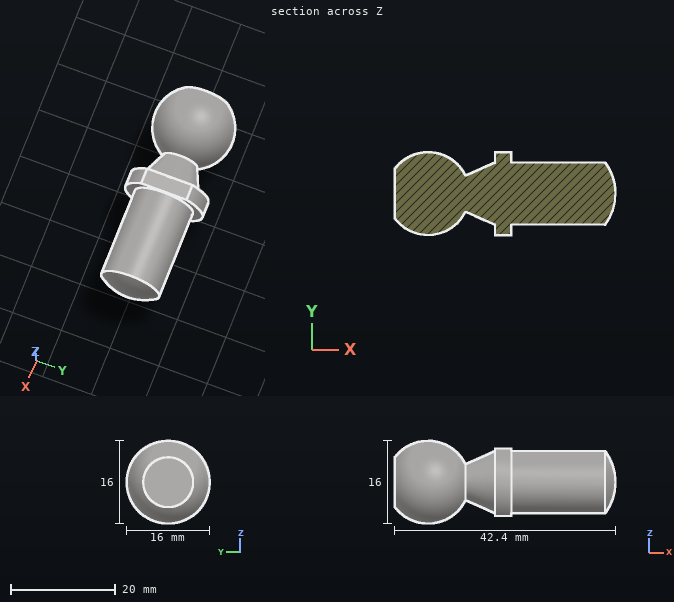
import cadquery as cq
import math

ball_diameter = 16.0
ball_flat_distance = 6.4
neck_diameter = 7.0
shank_diameter = 12.0
collar_diameter = 16.0
collar_across_flats = 13.0
collar_thickness = 3.2
collar_end_x = 16.0
dome_height = 2.0
stud_end_x = 36.0

ball_radius = ball_diameter / 2
neck_radius = neck_diameter / 2
shank_radius = shank_diameter / 2
ball_flat_radius = math.sqrt(ball_radius**2 - ball_flat_distance**2)
neck_start_x = math.sqrt(ball_radius**2 - neck_radius**2)
collar_start_x = collar_end_x - collar_thickness
dome_start_x = stud_end_x - dome_height
dome_radius = (shank_radius**2 + dome_height**2) / (2 * dome_height)


def make_stud():
    """Ball, conical neck and domed shank, revolved from one half profile."""
    dome_center_x = stud_end_x - dome_radius
    dome_half_angle = math.asin(shank_radius / dome_radius) / 2
    dome_middle = (
        dome_center_x + dome_radius * math.cos(dome_half_angle),
        dome_radius * math.sin(dome_half_angle),
    )
    profile = (
        cq.Workplane("XY")
        .moveTo(-ball_flat_distance, 0)
        .lineTo(-ball_flat_distance, ball_flat_radius)
        .threePointArc((0, ball_radius), (neck_start_x, neck_radius))
        .lineTo(collar_start_x, shank_radius)
        .lineTo(dome_start_x, shank_radius)
        .threePointArc(dome_middle, (stud_end_x, 0))
        .close()
    )
    return profile.revolve(360, (0, 0, 0), (1, 0, 0))


def make_collar():
    """Round collar with two wrench flats facing +Z and -Z."""
    disc = (
        cq.Workplane("YZ", origin=(collar_start_x, 0, 0))
        .circle(collar_diameter / 2)
        .extrude(collar_thickness)
    )
    flats_envelope = (
        cq.Workplane("YZ", origin=(collar_start_x, 0, 0))
        .rect(collar_diameter, collar_across_flats)
        .extrude(collar_thickness)
    )
    return disc.intersect(flats_envelope)


result = make_stud().union(make_collar())